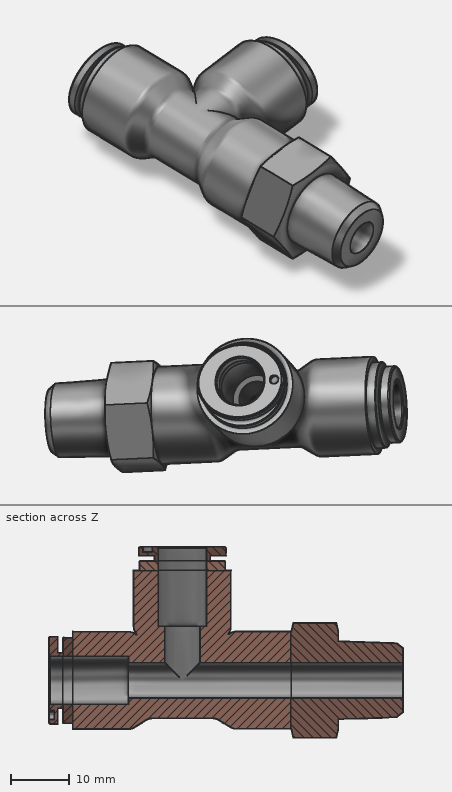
import cadquery as cq
import math


throat_dia = 13.0
body_dia = 16.7
throat_reach = 5.15
flare_angle = 32
flare_radius = 2.0
socket_reach = 18.8
stud_reach = 18.6

socket_dia = 8.2
passage_dia = 6.0

collar_dia = 14.7
collar_length = 1.65
collar_chamfer = 0.1
neck_dia = 9.6
neck_length = 0.85
flange_width = 14.95
flange_height = 13.0
flange_length = 1.6
flange_chamfer = 0.25
mouth_chamfer = 0.25
mark_dia = 1.5
mark_offset = 5.95
mark_depth = 0.9

hex_flats = 17.0
hex_length = 8.05
hex_chamfer_angle = 15
thread_root_dia = 13.4
thread_tip_dia = 12.7
stud_end_dia = 10.95
stud_end_chamfer = 1.15
stud_length = 19.15

flare_rise = (body_dia - throat_dia) / 2
arc_run = flare_radius * math.sin(math.radians(flare_angle))
arc_rise = flare_radius * (1 - math.cos(math.radians(flare_angle)))
cone_run = (flare_rise - 2 * arc_rise) / math.tan(math.radians(flare_angle))
shoulder_reach = throat_reach + 2 * arc_run + cone_run
neck_reach = socket_reach + collar_length
flange_reach = neck_reach + neck_length
button_reach = flange_reach + flange_length

RUN_ARM_TURN = 180
BRANCH_ARM_TURN = 90
SOCKET_TURNS = (RUN_ARM_TURN, BRANCH_ARM_TURN)


def turned(shape, angle):
    """Turn a part of an arm from +X about Z."""
    return shape.rotate((0, 0, 0), (0, 0, 1), angle)


def rod(start, length, diameter):
    """Cylinder on the X axis."""
    return cq.Workplane("YZ", origin=(start, 0, 0)).circle(diameter / 2).extrude(length)


def revolved(profile):
    """Close a half section and turn it about the X axis."""
    return profile.close().revolve(360, (0, 0, 0), (1, 0, 0))


def make_arm(reach):
    """Solid arm of the tee: throat, rounded flare and large end."""
    throat_radius = throat_dia / 2
    body_radius = body_dia / 2
    profile = (
        cq.Workplane("XY")
        .lineTo(0, throat_radius)
        .lineTo(throat_reach, throat_radius)
        .tangentArcPoint((throat_reach + arc_run, throat_radius + arc_rise), relative=False)
        .lineTo(shoulder_reach - arc_run, body_radius - arc_rise)
        .tangentArcPoint((shoulder_reach, body_radius), relative=False)
        .lineTo(reach, body_radius)
        .lineTo(reach, 0)
    )
    return revolved(profile)


def make_tee():
    tee = make_arm(stud_reach)
    for angle in SOCKET_TURNS:
        tee = tee.union(turned(make_arm(socket_reach), angle))
    tee = tee.cut(rod(0, stud_reach, passage_dia))
    socket = rod(shoulder_reach, socket_reach - shoulder_reach, socket_dia)
    arm_bore = rod(0, socket_reach, passage_dia).union(socket)
    for angle in SOCKET_TURNS:
        tee = tee.cut(turned(arm_bore, angle))
    return tee


def make_collar():
    """Ring seated on the mouth of a socket."""
    ring = rod(socket_reach, collar_length, collar_dia).faces(">X").chamfer(collar_chamfer)
    return ring.cut(rod(socket_reach, collar_length, socket_dia))


def make_button():
    """Release button: round neck with an oval flange and a small round mark."""
    button = (
        cq.Workplane("YZ", origin=(flange_reach, 0, 0))
        .ellipse(flange_width / 2, flange_height / 2)
        .extrude(flange_length)
        .faces(">X")
        .chamfer(flange_chamfer)
    )
    button = button.union(rod(neck_reach, neck_length, neck_dia))
    button = button.cut(rod(neck_reach, button_reach - neck_reach, socket_dia))
    button = button.faces(">X").edges("%CIRCLE").chamfer(mouth_chamfer)
    mark = rod(button_reach - mark_depth, mark_depth, mark_dia)
    return button.cut(mark.translate((0, mark_offset, 0)))


def make_hexagon():
    """Hexagon with two flats square to Z and both ends chamfered at the corners."""
    corner_dia = 2 * hex_flats / math.sqrt(3)
    blank = (
        cq.Workplane("YZ", origin=(stud_reach, 0, 0))
        .polygon(6, corner_dia)
        .extrude(hex_length)
    )
    chamfer_run = (corner_dia - hex_flats) / 2 * math.tan(math.radians(hex_chamfer_angle))
    hex_end = stud_reach + hex_length
    envelope = (
        cq.Workplane("XY")
        .moveTo(stud_reach, 0)
        .lineTo(stud_reach, hex_flats / 2)
        .lineTo(stud_reach + chamfer_run, corner_dia / 2)
        .lineTo(hex_end - chamfer_run, corner_dia / 2)
        .lineTo(hex_end, hex_flats / 2)
        .lineTo(hex_end, 0)
    )
    return blank.intersect(revolved(envelope))


def make_stud():
    """Hexagon and tapered thread blank with the passage through both."""
    hex_end = stud_reach + hex_length
    stud_end = stud_reach + stud_length
    taper_end = stud_end - stud_end_chamfer
    thread = (
        cq.Workplane("XY")
        .moveTo(hex_end, 0)
        .lineTo(hex_end, thread_root_dia / 2)
        .lineTo(taper_end, thread_tip_dia / 2)
        .lineTo(stud_end, stud_end_dia / 2)
        .lineTo(stud_end, 0)
    )
    stud = make_hexagon().union(revolved(thread))
    return stud.cut(rod(stud_reach, stud_length, passage_dia))


tee = make_tee()
stud = make_stud()
collars = [turned(make_collar(), angle) for angle in SOCKET_TURNS]
buttons = [turned(make_button(), angle) for angle in SOCKET_TURNS]

bodies = [tee, stud, *collars, *buttons]
solids = [solid for body in bodies for solid in body.solids().vals()]
result = cq.Compound.makeCompound(solids)